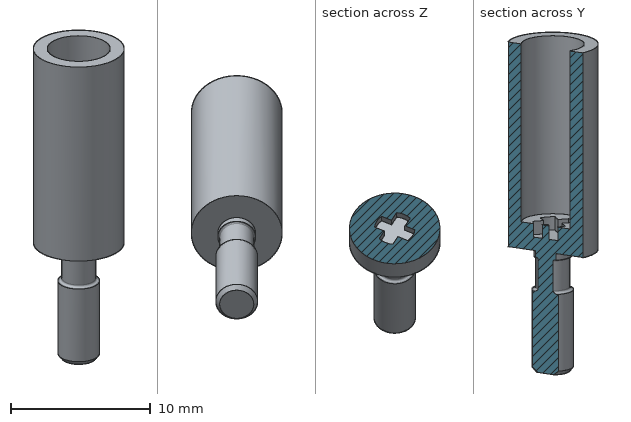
import cadquery as cq

total_height = 24.2
sleeve_bottom = 9.0
collar_bottom = 8.52
shank_top = 6.03

sleeve_diameter = 6.5
bore_diameter = 4.5
collar_diameter = 2.7
neck_diameter = 2.45
shank_diameter = 3.0

tip_chamfer_height = 0.35
neck_fillet = 0.2
collar_fillet = 0.07

floor_thickness = 2.0
recess_depth = 1.0
recess_diameter = 2.85
recess_arm_width = 1.06
recess_angle = 45.0

bore_floor = sleeve_bottom + floor_thickness


def cylinder(diameter, bottom, top):
    """Vertical cylinder on the part axis between two heights."""
    return cq.Workplane("XY").workplane(offset=bottom).circle(diameter / 2).extrude(top - bottom)


def stem():
    """Revolved shank, relieved neck and collar below the sleeve."""
    shank_radius = shank_diameter / 2
    neck_radius = neck_diameter / 2
    collar_radius = collar_diameter / 2
    profile = (
        cq.Workplane("XZ")
        .lineTo(neck_radius, 0)
        .lineTo(shank_radius, tip_chamfer_height)
        .lineTo(shank_radius, shank_top)
        .lineTo(neck_radius + neck_fillet, shank_top)
        .radiusArc((neck_radius, shank_top + neck_fillet), neck_fillet)
        .lineTo(neck_radius, collar_bottom - collar_fillet)
        .radiusArc((neck_radius + collar_fillet, collar_bottom), collar_fillet)
        .lineTo(collar_radius, collar_bottom)
        .lineTo(collar_radius, sleeve_bottom)
        .lineTo(0, sleeve_bottom)
        .close()
    )
    return profile.revolve(360, (0, 0), (0, 1))


def cross_recess():
    """Diagonal cross with its arm ends rounded by a common circle."""
    bottom = bore_floor - recess_depth
    arms = (
        cq.Workplane("XY")
        .workplane(offset=bottom)
        .rect(recess_diameter, recess_arm_width)
        .extrude(recess_depth)
    )
    arms = arms.union(arms.rotate((0, 0, 0), (0, 0, 1), 90))
    cross = arms.intersect(cylinder(recess_diameter, bottom, bore_floor))
    return cross.rotate((0, 0, 0), (0, 0, 1), recess_angle)


sleeve = cylinder(sleeve_diameter, sleeve_bottom, total_height)
bore = cylinder(bore_diameter, bore_floor, total_height)

result = sleeve.union(stem()).cut(bore).cut(cross_recess())